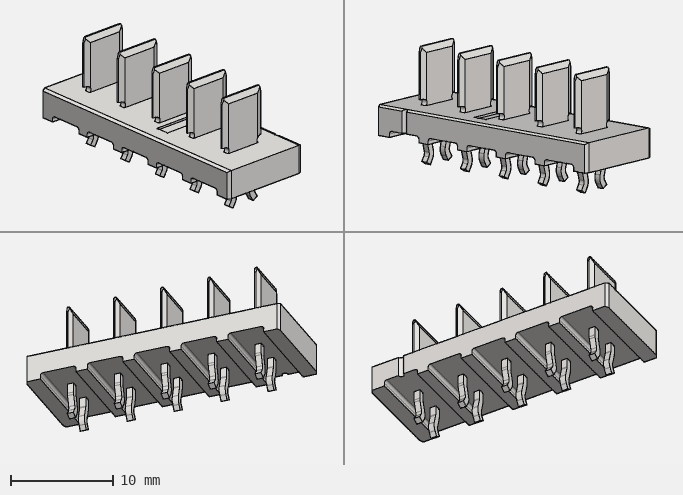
import cadquery as cq
import math


base_length = 27.02
base_width = 9.8
base_height = 3.03
edge_bevel_y = 0.4
edge_bevel_z = 0.15
corner_bevel_x = 0.2

pin_count = 5
pin_pitch = 5.0
pin_xs = [(i - (pin_count - 1) / 2) * pin_pitch for i in range(pin_count)]

channel_width = 3.78
channel_depth = 0.65
channel_radius = 0.3

groove_radius = 0.3
groove_depth = 0.35

label_length = 5.95
label_width = 1.5
label_depth = 0.22
label_x = 1.86

blade_thickness = 0.65
blade_width = 5.15
blade_rise = 5.97
blade_bevel = 0.65
rim_thickness = 0.15
corner_run = 0.25
corner_drop = 0.65
neck_width = 3.7
neck_height = 0.65
undercut_radius = 0.35

leg_thickness = 0.65
leg_embed = 0.65
leg_drop = 3.0
upper_straight = 0.38
upper_radius = 0.62
upper_angle = math.radians(15)
middle_straight = 1.13
lower_radius = 0.9
lower_angle = math.radians(31)


def make_base():
    half_length = base_length / 2
    half_width = base_width / 2
    base = cq.Workplane("XY").box(base_length, base_width, base_height, centered=(True, True, False))

    for side in (-1, 1):
        top_bevel = (
            cq.Workplane("YZ", origin=(-half_length, 0, 0))
            .moveTo(side * half_width, base_height)
            .lineTo(side * (half_width - edge_bevel_y), base_height)
            .lineTo(side * half_width, base_height - edge_bevel_z)
            .close()
            .extrude(base_length)
        )
        base = base.cut(top_bevel)
        for end in (-1, 1):
            corner_bevel = (
                cq.Workplane("XY")
                .moveTo(end * half_length, side * half_width)
                .lineTo(end * (half_length - corner_bevel_x), side * half_width)
                .lineTo(end * half_length, side * (half_width - edge_bevel_y))
                .close()
                .extrude(base_height)
            )
            base = base.cut(corner_bevel)
    return base


def make_channel(x):
    return (
        cq.Workplane("XY")
        .box(channel_width, base_width, channel_depth, centered=(True, True, False))
        .edges("|Y and >Z")
        .fillet(channel_radius)
        .translate((x, 0, 0))
    )


def make_groove(x):
    side_y = base_width / 2
    centre_y = side_y - groove_depth + groove_radius
    round_end = cq.Workplane("XY").center(x, centre_y).circle(groove_radius).extrude(base_height)
    mouth = cq.Workplane("XY").center(x, side_y).rect(2 * groove_radius, 2 * (side_y - centre_y))
    return round_end.union(mouth.extrude(base_height))


def make_label_recess():
    return (
        cq.Workplane("XY", origin=(label_x, 0, base_height - label_depth))
        .rect(label_width, label_length)
        .extrude(label_depth)
    )


def make_blade():
    """Blade standing on Z = 0, with a bevelled rim and a round undercut beside its neck."""
    half_width = blade_width / 2
    half_thickness = blade_thickness / 2
    rim_inset = half_thickness - rim_thickness / 2
    blade = (
        cq.Workplane("YZ", origin=(-half_thickness, 0, 0))
        .moveTo(-half_width, 0)
        .lineTo(-half_width, blade_rise - corner_drop)
        .lineTo(-half_width + corner_run, blade_rise)
        .lineTo(half_width - corner_run, blade_rise)
        .lineTo(half_width, blade_rise - corner_drop)
        .lineTo(half_width, 0)
        .close()
        .extrude(blade_thickness)
    )
    for face in (-1, 1):
        tip_bevel = (
            cq.Workplane("XZ", origin=(0, half_width, 0))
            .moveTo(face * half_thickness, blade_rise)
            .lineTo(face * (half_thickness - rim_inset), blade_rise)
            .lineTo(face * half_thickness, blade_rise - blade_bevel)
            .close()
            .extrude(blade_width)
        )
        blade = blade.cut(tip_bevel)
        for side in (-1, 1):
            side_bevel = (
                cq.Workplane("XY")
                .moveTo(face * half_thickness, side * half_width)
                .lineTo(face * (half_thickness - rim_inset), side * half_width)
                .lineTo(face * half_thickness, side * (half_width - blade_bevel))
                .close()
                .extrude(blade_rise)
            )
            blade = blade.cut(side_bevel)

    undercut_centre = neck_width / 2 + undercut_radius
    for side in (-1, 1):
        undercut = (
            cq.Workplane("YZ", origin=(-half_thickness, 0, neck_height - 2 * undercut_radius))
            .moveTo(side * half_width, 0)
            .lineTo(side * undercut_centre, 0)
            .threePointArc(
                (side * neck_width / 2, undercut_radius),
                (side * undercut_centre, 2 * undercut_radius),
            )
            .lineTo(side * half_width, 2 * undercut_radius)
            .close()
            .extrude(blade_thickness)
        )
        blade = blade.cut(undercut)
    return blade


def make_leg():
    """Sprung leg on the +Y side below the base: in towards the middle, then out to the tip."""
    top = channel_depth + leg_embed
    start_y = (neck_width - leg_thickness) / 2
    upper_centre_y = start_y - upper_radius

    def upper_point(angle):
        return (
            upper_centre_y + upper_radius * math.cos(angle),
            -upper_straight - upper_radius * math.sin(angle),
        )

    bend_y, bend_z = upper_point(upper_angle)
    lower_y = bend_y - middle_straight * math.sin(upper_angle)
    lower_z = bend_z - middle_straight * math.cos(upper_angle)
    lower_centre_y = lower_y + lower_radius * math.cos(upper_angle)
    lower_centre_z = lower_z - lower_radius * math.sin(upper_angle)

    def lower_point(angle):
        return (
            lower_centre_y - lower_radius * math.cos(angle),
            lower_centre_z - lower_radius * math.sin(angle),
        )

    foot_y, foot_z = lower_point(lower_angle)
    tip_z = -leg_drop + leg_thickness / 2 * math.sin(lower_angle)
    tip_y = foot_y + (foot_z - tip_z) * math.tan(lower_angle)

    centreline = (
        cq.Workplane("YZ")
        .moveTo(start_y, top)
        .lineTo(start_y, -upper_straight)
        .threePointArc(upper_point(upper_angle / 2), (bend_y, bend_z))
        .lineTo(lower_y, lower_z)
        .threePointArc(lower_point(0), (foot_y, foot_z))
        .lineTo(tip_y, tip_z)
    )
    return (
        cq.Workplane("XY", origin=(0, start_y, top))
        .rect(blade_thickness, leg_thickness)
        .sweep(centreline)
    )


base = make_base().cut(make_groove(pin_xs[-1])).cut(make_label_recess())
for x in pin_xs:
    base = base.cut(make_channel(x))

blade = make_blade()
leg = make_leg()
result = base
for x in pin_xs:
    result = result.union(blade.translate((x, 0, base_height)))
    result = result.union(leg.translate((x, 0, 0)))
    result = result.union(leg.mirror("XZ").translate((x, 0, 0)))